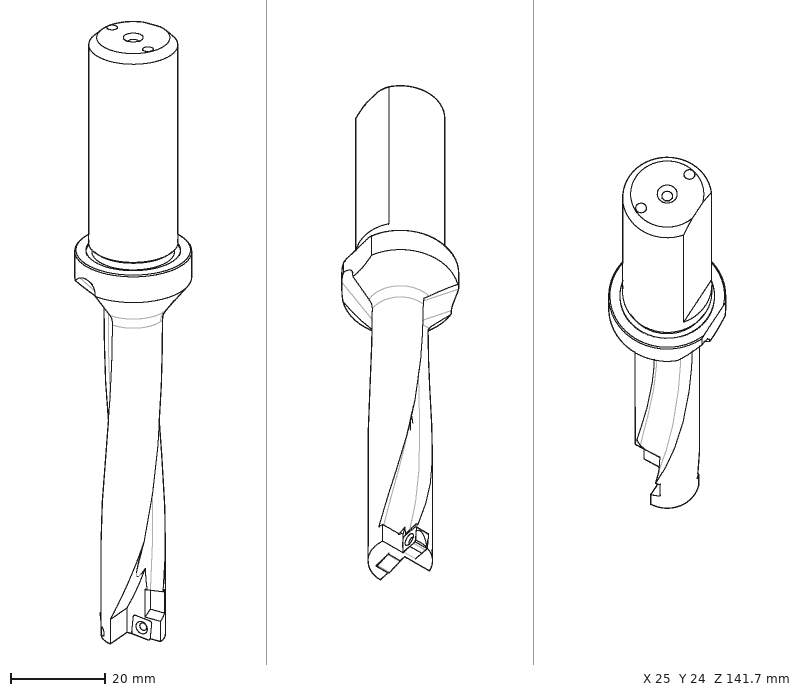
import cadquery as cq
import math


total_length = 141.7
tip_bottom = 0.4
cone_bottom = 77.7
flange_bottom = 85.0
flange_top = 91.4
shank_bottom = 93.1
flat_bottom = 96.8

body_radius = 13.7 / 2
flange_radius = 12.5
shank_radius = 9.5
neck_radius = 8.8
relief_radius = 10.0
relief_depth = 0.4
flange_flat = 11.5
shank_flat = 7.5
shank_top_chamfer = 1.7
shank_foot_chamfer = 0.5
flange_rim_chamfer = 0.3
cone_root_fillet = 4.3

flute_offset = 0.92
flute_root_length = 4.8
flute_root_depth = 3.1
flute_width = 11.3
flute_bottom = 5.7
flute_top = 77.8
flute_top_angle = 225.0
flute_twist = 87.0
flute_sections = 8
flute_runout_height = 15.6
flute_runout_drift = 1.8

inner_pocket_edge = -1.5
outer_pocket_edge = 2.3
pocket_top = 28.3
pocket_end_x = 6.0
pocket_bulge = 1.0
pocket_height = 6.2
pocket_depth = 8.5
gullet_bottom = 5.2
gullet_top = 11.8
gullet_recess = 2.1
gullet_edge = 3.0

insert_size = 4.7
insert_thickness = 3.3
insert_corner_radius = 0.5
insert_tilt = 6.0
insert_bore_radius = 0.9
insert_sink_radius = 1.4
insert_sink_angle = 90.0
inner_insert_x = 2.1
inner_face_y = 0.0
outer_face_y = -1.0
outer_insert_x = 4.4
outer_insert_lift = 0.3

center_hole_radius = 1.1
center_sink_radius = 2.1
center_hole_depth = 5.7
coolant_radius = 1.1
coolant_depth = 7.1
coolant_points = [(-6.4, 1.7), (5.7, -3.1)]
outlet_radius = 1.0
outlet_angle = 229.0
outlet_height = 2.0
outlet_depth = 2.1

half_turn = 180.0
flute_corner_angle = 45.0
selection_margin = 0.1


def turned_about_axis(shape, angle):
    return shape.rotate((0, 0, 0), (0, 0, 1), angle)


def turned_blank():
    """Body, cone, flange, neck and shank as one turned shape."""
    profile = [
        (0, tip_bottom),
        (body_radius, tip_bottom),
        (body_radius, cone_bottom),
        (flange_radius, flange_bottom),
        (flange_radius, flange_top - flange_rim_chamfer),
        (flange_radius - flange_rim_chamfer, flange_top),
        (relief_radius, flange_top),
        (relief_radius, flange_top - relief_depth),
        (neck_radius, flange_top - relief_depth),
        (neck_radius, shank_bottom - shank_foot_chamfer),
        (shank_radius, shank_bottom),
        (shank_radius, total_length - shank_top_chamfer),
        (shank_radius - shank_top_chamfer, total_length),
        (0, total_length),
    ]
    blank = cq.Workplane("XZ").polyline(profile).close().revolve(360, (0, 0), (0, 1))
    root = cq.selectors.BoxSelector(
        (-flange_radius, -flange_radius, cone_bottom - selection_margin),
        (flange_radius, flange_radius, cone_bottom + selection_margin),
    )
    return blank.edges(root).fillet(cone_root_fillet)


def flat_cutter(distance, bottom, top):
    """Block that leaves a flat facing +Y at the given distance from the axis."""
    width = 2 * flange_radius
    return (
        cq.Workplane("XY", origin=(0, 0, bottom))
        .rect(width, width)
        .extrude(top - bottom)
        .translate((0, distance + flange_radius, 0))
    )


def flute_section(z):
    """Closed flute outline at height z; the twist grows with the square of the depth below the top."""
    depth = (flute_top - z) / (flute_top - flute_bottom)
    angle = flute_top_angle - flute_twist * depth**2
    outline = (
        cq.Workplane("XY")
        .moveTo(flute_offset + flute_root_length, flute_offset)
        .lineTo(flute_width, flute_offset)
        .lineTo(flute_width, flute_width)
        .lineTo(flute_offset, flute_width)
        .lineTo(flute_offset, flute_offset + flute_root_depth)
        .ellipseArc(flute_root_length, flute_root_depth, 180, 270, startAtCurrent=True)
        .close()
        .val()
    )
    return turned_about_axis(outline, angle - flute_corner_angle).translate(cq.Vector(0, 0, z))


def flute_cutters():
    """Twisted flute from the chip pocket to the cone, then a straight run-out sloping out to -Y."""
    step = (flute_top - flute_bottom) / flute_sections
    heights = [flute_bottom + step * i for i in range(flute_sections + 1)]
    twisted = cq.Solid.makeLoft([flute_section(z) for z in heights])
    slope = cq.Vector(-flute_runout_drift, -flute_runout_height, flute_runout_height)
    runout = cq.Solid.extrudeLinear(flute_section(flute_top), [], slope)
    return cq.Workplane(twisted), cq.Workplane(runout)


def pocket_cutter(edge_x, face_y):
    """Chip pocket on the +X side with its flat wall facing -Y; its edge curves outwards up the body."""
    middle_x = (edge_x + pocket_end_x) / 2 + pocket_bulge
    middle_z = (pocket_height + pocket_top) / 2
    return (
        cq.Workplane("XZ", origin=(0, face_y, 0))
        .moveTo(edge_x, 0)
        .lineTo(edge_x, pocket_height)
        .threePointArc((middle_x, middle_z), (pocket_end_x, pocket_top))
        .lineTo(pocket_depth, pocket_top)
        .lineTo(pocket_depth, 0)
        .close()
        .extrude(pocket_depth)
    )


def gullet_cutter():
    """Recess in the pocket wall above the insert, with a sloped lower end."""
    outline = [
        (0, gullet_bottom),
        (gullet_recess, pocket_height),
        (gullet_recess, gullet_top),
        (0, gullet_top),
    ]
    return cq.Workplane("YZ", origin=(gullet_edge, 0, 0)).polyline(outline).close().extrude(pocket_depth)


def insert_block(center_x, face_y, lift):
    """Tilted square insert before its bore; its lowest corner is at z = lift."""
    tilt = math.radians(insert_tilt)
    core = insert_size / 2 - insert_corner_radius
    center_z = lift + core * (math.cos(tilt) + math.sin(tilt)) + insert_corner_radius
    return (
        cq.Workplane("XZ")
        .rect(insert_size, insert_size)
        .extrude(-insert_thickness)
        .edges("|Y")
        .fillet(insert_corner_radius)
        .rotate((0, 0, 0), (0, 1, 0), insert_tilt)
        .translate((center_x, face_y, center_z))
    )


def cutting_insert(block):
    """Insert with a countersunk screw bore in its face."""
    return (
        block.faces("<Y")
        .workplane(centerOption="CenterOfMass")
        .cskHole(2 * insert_bore_radius, 2 * insert_sink_radius, insert_sink_angle)
    )


def center_hole():
    """Blind hole on the axis with a 45-degree countersink."""
    sink_depth = center_sink_radius - center_hole_radius
    outline = [
        (0, total_length),
        (center_sink_radius, total_length),
        (center_hole_radius, total_length - sink_depth),
        (center_hole_radius, total_length - center_hole_depth),
        (0, total_length - center_hole_depth),
    ]
    return cq.Workplane("XZ").polyline(outline).close().revolve(360, (0, 0), (0, 1))


def coolant_inlets():
    return (
        cq.Workplane("XY", origin=(0, 0, total_length))
        .pushPoints(coolant_points)
        .circle(coolant_radius)
        .extrude(-coolant_depth)
    )


def coolant_outlet():
    outlet = (
        cq.Workplane("YZ", origin=(body_radius - outlet_depth, 0, outlet_height))
        .circle(outlet_radius)
        .extrude(2 * outlet_depth)
    )
    return turned_about_axis(outlet, outlet_angle)


inner_block = insert_block(inner_insert_x, inner_face_y, 0)
outer_block = insert_block(outer_insert_x, outer_face_y, outer_insert_lift)

holder = turned_blank()
holder = holder.cut(flat_cutter(flange_flat, cone_bottom, flange_top))
holder = holder.cut(flat_cutter(shank_flat, flat_bottom, total_length))
for angle in (0, half_turn):
    for cutter in flute_cutters():
        holder = holder.cut(turned_about_axis(cutter, angle))
inner_pocket = pocket_cutter(inner_pocket_edge, inner_face_y)
outer_pocket = pocket_cutter(outer_pocket_edge, outer_face_y)
holder = holder.cut(inner_pocket).cut(gullet_cutter()).cut(turned_about_axis(outer_pocket, half_turn))
holder = holder.cut(inner_block).cut(turned_about_axis(outer_block, half_turn))
holder = holder.cut(center_hole()).cut(coolant_inlets()).cut(coolant_outlet())

inner_insert = cutting_insert(inner_block)
outer_insert = turned_about_axis(cutting_insert(outer_block), half_turn)

result = cq.Compound.makeCompound([holder.solids().val(), inner_insert.val(), outer_insert.val()])